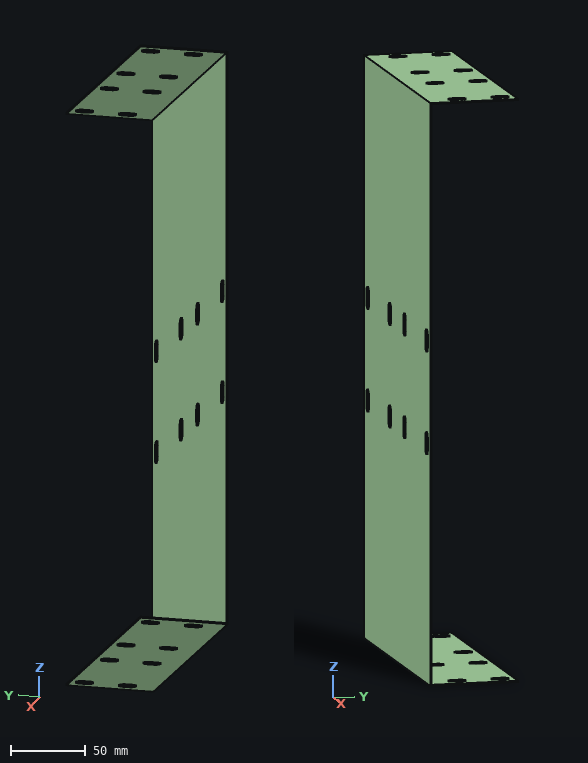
import cadquery as cq

WIDTH = 180.0
DEPTH = 60.7
HEIGHT = 396.7
SHEET = 1.0

SLOT_WIDTH = 7.0
WEB_SLOT_LENGTH = 15.0
FLANGE_SLOT_LENGTH = 12.0

OUTER_COLUMN_SPACING = 160.0
INNER_COLUMN_SPACING = 40.0
COLUMNS = [
    side * spacing / 2
    for spacing in (OUTER_COLUMN_SPACING, INNER_COLUMN_SPACING)
    for side in (-1, 1)
]

WEB_ROW_SPACING = 70.0
FLANGE_ROW_SPACING = 29.8
FLANGE_ROW_EDGE_DISTANCE = 10.0
WEB_ROWS = [-WEB_ROW_SPACING / 2, WEB_ROW_SPACING / 2]
BACK_ROW = DEPTH - FLANGE_ROW_EDGE_DISTANCE
FLANGE_ROWS = [BACK_ROW, BACK_ROW - FLANGE_ROW_SPACING]


def channel():
    """Web on the Y = 0 plane with a flange at the top and bottom, both pointing to +Y."""
    block = cq.Workplane("XY").box(WIDTH, DEPTH, HEIGHT, centered=(True, False, True))
    cavity = (
        cq.Workplane("XY")
        .box(WIDTH, DEPTH, HEIGHT - 2 * SHEET, centered=(True, False, True))
        .translate((0, SHEET, 0))
    )
    return block.cut(cavity)


def slot_cutters(plane, rows, length, reach):
    """Slots at every column and row, their long side across the rows, cut to both sides."""
    centres = [(column, row) for column in COLUMNS for row in rows]
    return (
        cq.Workplane(plane)
        .pushPoints(centres)
        .slot2D(length, SLOT_WIDTH, angle=90)
        .extrude(reach, both=True)
    )


web_slots = slot_cutters("XZ", WEB_ROWS, WEB_SLOT_LENGTH, DEPTH)
flange_slots = slot_cutters("XY", FLANGE_ROWS, FLANGE_SLOT_LENGTH, HEIGHT)

result = channel().cut(web_slots).cut(flange_slots)